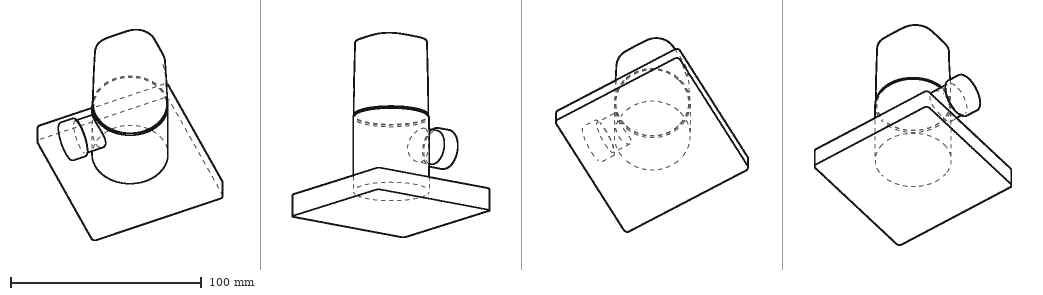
import cadquery as cq
import math

plate_side = 75.0
plate_height = 12.0
plate_corner_radius = 2.1
plate_edge_radius = 0.9

total_height = 93.7
body_radius = 20.0
body_top = 52.7
body_edge_chamfer = 0.7

joint_radius = 19.1
joint_height = 0.6

handle_bottom = body_top + joint_height
handle_bottom_radius = 19.6
handle_middle = 74.0
handle_middle_half_width = 18.9
handle_middle_diagonal = 19.5
handle_top_half_width = 16.4
handle_top_corner_radius = 10.1
handle_edge_radius = 0.9
handle_dome_radius = 374.8
flat_half_width = handle_top_half_width - handle_top_corner_radius
handle_top_diagonal = flat_half_width * math.sqrt(2) + handle_top_corner_radius

outlet_height = 40.1
neck_radius = 9.0
cap_radius = 10.5
cap_start = 28.5
cap_end = 36.7
cap_edge_radius = 0.8


def make_plate():
    plate = cq.Workplane("XY").box(plate_side, plate_side, plate_height, centered=(True, True, False))
    plate = plate.edges("|Z").fillet(plate_corner_radius)
    return plate.faces(">Z").edges().fillet(plate_edge_radius)


def make_body():
    body = cq.Workplane("XY").circle(body_radius).extrude(body_top)
    body = body.faces(">Z").chamfer(body_edge_chamfer)
    joint = cq.Solid.makeCone(joint_radius, handle_bottom_radius, joint_height, pnt=cq.Vector(0, 0, body_top))
    return body.union(cq.Workplane(joint))


def handle_section(height, half_width, diagonal, side_end):
    """Closed wire of four side arcs and four corner arcs.

    half_width: centre to the middle of a side; diagonal: centre to the middle of a corner;
    side_end: distance from the centre axis at which a side meets a corner.
    """
    corner = diagonal / math.sqrt(2)
    edges = []
    for quarter in range(4):
        angle = math.radians(90 * quarter)

        def turned(x, y):
            return cq.Vector(
                x * math.cos(angle) - y * math.sin(angle),
                x * math.sin(angle) + y * math.cos(angle),
                height,
            )

        side_start = turned(side_end, -flat_half_width)
        side_finish = turned(side_end, flat_half_width)
        corner_finish = turned(flat_half_width, side_end)
        if half_width > side_end:
            side = cq.Edge.makeThreePointArc(side_start, turned(half_width, 0), side_finish)
        else:
            side = cq.Edge.makeLine(side_start, side_finish)
        edges.append(side)
        edges.append(cq.Edge.makeThreePointArc(side_finish, turned(corner, corner), corner_finish))
    return cq.Wire.assembleEdges(edges)


def make_handle():
    bottom_side_end = math.sqrt(handle_bottom_radius**2 - flat_half_width**2)
    middle_side_end = math.sqrt(handle_middle_half_width**2 - flat_half_width**2)
    sections = [
        handle_section(handle_bottom, handle_bottom_radius, handle_bottom_radius, bottom_side_end),
        handle_section(handle_middle, handle_middle_half_width, handle_middle_diagonal, middle_side_end),
        handle_section(total_height, handle_top_half_width, handle_top_diagonal, handle_top_half_width),
    ]
    handle = cq.Workplane(cq.Solid.makeLoft(sections))
    dome = cq.Workplane("XY", origin=(0, 0, total_height - handle_dome_radius)).sphere(handle_dome_radius)
    handle = handle.intersect(dome)
    return handle.faces(">Z").edges().fillet(handle_edge_radius)


def make_outlet():
    axis_plane = cq.Workplane("XZ", origin=(0, 0, outlet_height))
    neck = axis_plane.circle(neck_radius).extrude(cap_end)
    cap = axis_plane.workplane(offset=cap_start).circle(cap_radius).extrude(cap_end - cap_start)
    return neck.union(cap.faces("<Y or >Y").edges().fillet(cap_edge_radius))


result = make_plate().union(make_body()).union(make_handle()).union(make_outlet())